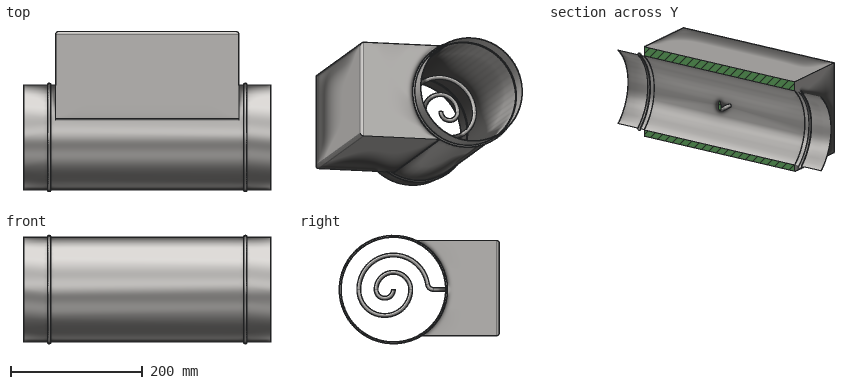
import cadquery as cq
import math

duct_length = 375.0
duct_radius = 80.0
wall = 0.8
bore_radius = duct_radius - wall

bead_radius = 2.5
bead_from_end = 38.5

box_length = 278.2
box_back = 161.0
box_top = 74.5
box_bottom = -70.0
box_edge_radius = 4.5
seat_depth = 0.2

rod_radius = 3.0
coil_pitch = 13.0
coil_turns = 4
bend_radius = 9.5
coil_outer_radius = coil_turns * coil_pitch
rod_embed = 0.5


def cylinder_along_x(radius, length):
    return cq.Workplane("YZ").circle(radius).extrude(length / 2, both=True)


def bead_ring(x, section_radius):
    """Ring around the duct whose section is a half round standing on the wall."""
    section = (
        cq.Workplane("XY")
        .moveTo(x - section_radius, bore_radius)
        .lineTo(x - section_radius, duct_radius)
        .threePointArc((x, duct_radius + section_radius), (x + section_radius, duct_radius))
        .lineTo(x + section_radius, bore_radius)
        .close()
    )
    return section.revolve(360, (0, 0, 0), (1, 0, 0))


def make_duct():
    duct = cylinder_along_x(duct_radius, duct_length)
    bead_places = [side * (duct_length / 2 - bead_from_end) for side in (-1, 1)]
    for x in bead_places:
        duct = duct.union(bead_ring(x, bead_radius))
    duct = duct.cut(cylinder_along_x(bore_radius, duct_length))
    for x in bead_places:
        duct = duct.cut(bead_ring(x, bead_radius - wall))
    return duct


def box_blank():
    """Rectangular block from the duct axis to the back, with its rear edges rounded."""
    block = cq.Workplane("XY").box(
        box_length, box_back, box_top - box_bottom, centered=(True, False, False)
    )
    return block.translate((0, 0, box_bottom)).faces(">Y").edges().fillet(box_edge_radius)


def make_coil():
    """Rod from the back of the bore, bent up into a spiral that winds to the duct axis."""
    bend_reach = coil_outer_radius + bend_radius
    bend_x = -math.sqrt(bend_reach**2 - bend_radius**2)
    touch_ratio = coil_outer_radius / bend_reach
    touch_point = (bend_x * touch_ratio, bend_radius * touch_ratio)
    start_x = -duct_radius - rod_embed

    path = cq.Workplane(cq.Plane((0, 0, 0), xDir=(0, -1, 0), normal=(-1, 0, 0)))
    path = path.moveTo(start_x, 0).lineTo(bend_x, 0).tangentArcPoint(touch_point, relative=False)
    side = 1
    for turn in range(coil_turns, 0, -1):
        radius = turn * coil_pitch
        centre_x = 0 if side > 0 else coil_pitch
        path = path.threePointArc((centre_x, side * radius), (centre_x + side * radius, 0))
        side = -side

    section = cq.Workplane("XZ", origin=(0, -start_x, 0)).circle(rod_radius)
    return section.sweep(path)


seat_radius = duct_radius - seat_depth
box = box_blank().cut(cylinder_along_x(seat_radius, duct_length))
opening = box_blank().intersect(cylinder_along_x(seat_radius, duct_length))
result = make_duct().cut(opening).union(box).union(make_coil())